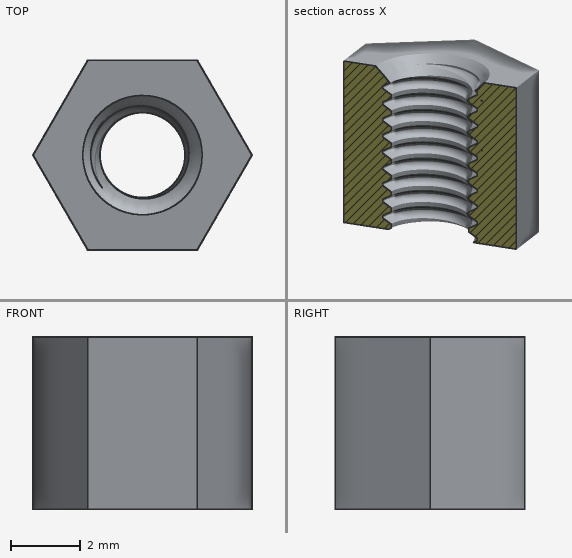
import cadquery as cq
import math

across_flats = 5.5
height = 5.0
across_corners = across_flats / math.cos(math.radians(30))

major_diameter = 3.0
pitch = 0.5
half_flank_angle = math.radians(30)
sharp_thread_height = pitch / 2 / math.tan(half_flank_angle)
major_radius = major_diameter / 2
thread_depth = 5 / 8 * sharp_thread_height
minor_radius = major_radius - thread_depth
root_flat = pitch / 8
flank_slope = math.tan(half_flank_angle)

countersink_diameter = 3.46
countersink_depth = countersink_diameter / 2 - minor_radius

thread_phase_drop = 0.20
thread_phase_angle = 218.0
groove_overlap = 0.03
spare_turns = 3


def hexagonal_body():
    """Hexagonal prism with two corners on the X axis."""
    return cq.Workplane("XY").polygon(6, across_corners).extrude(height)


def bore():
    """Plain hole at the minor diameter of the thread."""
    return cq.Workplane("XY").circle(minor_radius).extrude(height)


def countersink():
    """Cone narrowing from the top face down to the bore."""
    cone = cq.Solid.makeCone(
        minor_radius,
        countersink_diameter / 2,
        countersink_depth,
        pnt=cq.Vector(0, 0, height - countersink_depth),
    )
    return cq.Workplane(cone)


def thread_groove():
    """Helical trapezoidal groove that starts below the body and ends above it."""
    inner_radius = minor_radius - groove_overlap
    root_half_width = root_flat / 2
    mouth_half_width = root_half_width + (major_radius - inner_radius) * flank_slope
    profile = [
        (inner_radius, -mouth_half_width),
        (major_radius, -root_half_width),
        (major_radius, root_half_width),
        (inner_radius, mouth_half_width),
    ]
    turns = math.ceil(height / pitch) + spare_turns
    length = turns * pitch

    def helix(radius, z):
        return cq.Wire.makeHelix(pitch, length, radius, center=cq.Vector(0, 0, z))

    def end_cap(rise):
        corners = [cq.Vector(radius, 0, z + rise) for radius, z in profile]
        return cq.Face.makeFromWires(cq.Wire.makePolygon(corners, close=True))

    next_corners = profile[1:] + profile[:1]
    strips = [
        cq.Face.makeRuledSurface(helix(*corner), helix(*next_corner))
        for corner, next_corner in zip(profile, next_corners)
    ]
    faces = [face for strip in strips for face in strip.Faces()]
    faces += [end_cap(0), end_cap(length)]
    groove = cq.Workplane(cq.Solid.makeSolid(cq.Shell.makeShell(faces)))

    groove_height = height - thread_phase_drop
    start_height = groove_height - (turns - 1) * pitch
    return groove.rotate((0, 0, 0), (0, 0, 1), thread_phase_angle).translate((0, 0, start_height))


result = hexagonal_body().cut(thread_groove()).cut(bore()).cut(countersink())